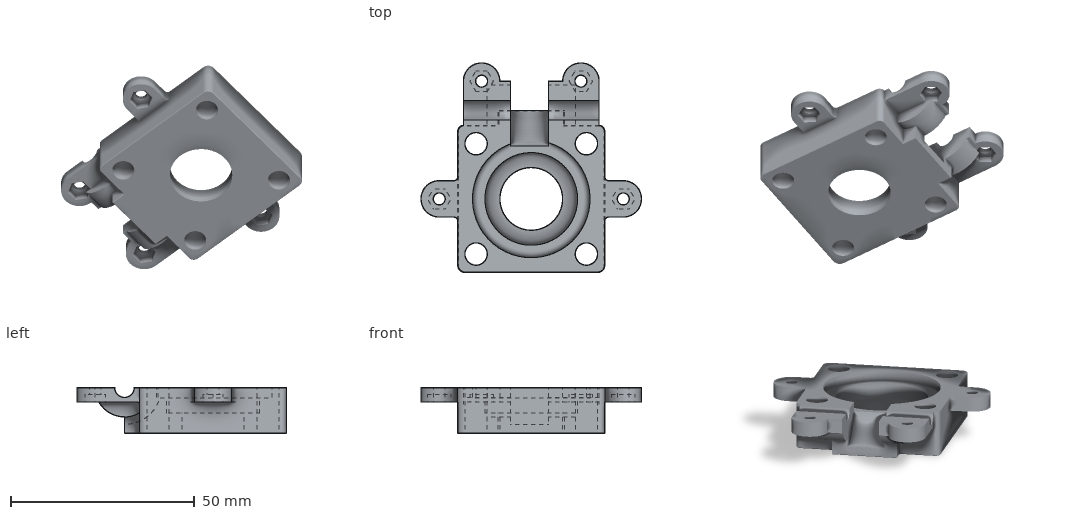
import cadquery as cq

overall_width = 60.0
overall_depth = 57.0
height = 12.55

body_side = 40.0
body_half = body_side / 2
front_corner_radius = 2.0
back_corner_radius = 1.6
bottom_chamfer = 0.2
screw_hole_diameter = 6.0
screw_hole_spacing = 30.0

seat_diameter = 32.0
seat_depth = 2.8
recess_diameter = 25.2
recess_depth = 6.9
through_bore_diameter = 17.0

ear_thickness = 3.95
ear_radius = 5.0
ear_hole_diameter = 3.2
nut_pocket_corner_diameter = 6.35
nut_pocket_depth = 2.05
ear_bottom = height - ear_thickness
side_ear_x = overall_width / 2 - ear_radius
side_ear_fillet = 1.0

back_ear_x = 13.5
back_ear_y = overall_depth - body_half - ear_radius
arm_outer_x = back_ear_x + ear_radius
arm_root_fillet = 0.5
slot_width = 10.25
slot_center_x = -0.5

shaft_y = 24.05
groove_radius = 2.65
barrel_radius = 8.0
barrel_half_width = 12.0
support_half_width = 9.0
wheel_clearance_radius = 10.0


def plate(width, depth, thickness, center_x, center_y, bottom_z):
    """Rectangular block centred in X and Y, standing on bottom_z."""
    block = cq.Workplane("XY").box(width, depth, thickness, centered=(True, True, False))
    return block.translate((center_x, center_y, bottom_z))


def vertical_cylinder(diameter, x, y, bottom_z):
    """Cylinder from bottom_z up to the top face."""
    return cq.Workplane("XY", origin=(x, y, bottom_z)).circle(diameter / 2).extrude(height - bottom_z)


def shaft_cylinder(radius, half_width):
    """Cylinder along X on the shaft axis, symmetric about X = 0."""
    return cq.Workplane("YZ", origin=(0, shaft_y, height)).circle(radius).extrude(half_width, both=True)


def make_body():
    """Square body with the narrower support block under the barrel, chamfered around the underside."""
    body = plate(body_side, body_side, height, 0, 0, 0)
    body = body.edges("|Z and <Y").fillet(front_corner_radius)
    body = body.edges("|Z and >Y").fillet(back_corner_radius)
    support_height = height - barrel_radius / 2
    support = plate(2 * support_half_width, shaft_y, support_height, 0, shaft_y / 2, 0)
    return body.union(support).faces("<Z").edges().chamfer(bottom_chamfer)


def make_side_ears():
    """Bar with round ends across the body, with concave fillets where it meets the sides."""
    bar = plate(2 * side_ear_x, 2 * ear_radius, ear_thickness, 0, 0, ear_bottom)
    for side in (-1, 1):
        bar = bar.union(vertical_cylinder(2 * ear_radius, side * side_ear_x, 0, ear_bottom))
    root_half_depth = ear_radius + side_ear_fillet
    root_half_width = body_half + side_ear_fillet
    roots = plate(2 * root_half_width, 2 * root_half_depth, ear_thickness, 0, 0, ear_bottom)
    for x in (-root_half_width, root_half_width):
        for y in (-root_half_depth, root_half_depth):
            roots = roots.cut(vertical_cylinder(2 * side_ear_fillet, x, y, ear_bottom))
    return bar.union(roots)


def make_back_arms():
    """Arm plates with round ears, the barrel below them and a small fillet at the body."""
    arms = plate(2 * arm_outer_x, back_ear_y, ear_thickness, 0, back_ear_y / 2, ear_bottom)
    for side in (-1, 1):
        arms = arms.union(vertical_cylinder(2 * ear_radius, side * back_ear_x, back_ear_y, ear_bottom))
    barrel = shaft_cylinder(barrel_radius, barrel_half_width)
    above_top = plate(overall_width, overall_depth, height, 0, shaft_y, height)
    arms = arms.union(barrel.cut(above_top))
    root = (
        cq.Workplane("YZ", origin=(0, body_half, ear_bottom))
        .lineTo(arm_root_fillet, 0)
        .radiusArc((0, -arm_root_fillet), -arm_root_fillet)
        .close()
        .extrude(arm_outer_x, both=True)
    )
    return arms.union(root)


def cut_bore(part):
    """Two round steps and the through bore."""
    part = part.cut(vertical_cylinder(seat_diameter, 0, 0, height - seat_depth))
    part = part.cut(vertical_cylinder(recess_diameter, 0, 0, height - recess_depth))
    return part.cut(vertical_cylinder(through_bore_diameter, 0, 0, 0))


def nut_pocket(x, y):
    """Hexagonal prism rising from the underside of an ear, with two flats facing -Y and +Y."""
    sketch = cq.Workplane("XY", origin=(x, y, ear_bottom)).polygon(6, nut_pocket_corner_diameter)
    return sketch.extrude(nut_pocket_depth)


def cut_holes(part):
    """Four body screw holes, and one small hole with a nut pocket in each ear."""
    screw_offset = screw_hole_spacing / 2
    for side in (-1, 1):
        part = part.cut(vertical_cylinder(screw_hole_diameter, side * screw_offset, screw_offset, 0))
        part = part.cut(vertical_cylinder(screw_hole_diameter, side * screw_offset, -screw_offset, 0))
        for x, y in ((side * side_ear_x, 0), (side * back_ear_x, back_ear_y)):
            part = part.cut(vertical_cylinder(ear_hole_diameter, x, y, ear_bottom))
            part = part.cut(nut_pocket(x, y))
    return part


def cut_shaft_space(part):
    """Groove across both arms and the slot between them, with its round floor."""
    part = part.cut(shaft_cylinder(groove_radius, overall_width / 2))
    slot = shaft_cylinder(wheel_clearance_radius, slot_width / 2)
    return part.cut(slot.translate((slot_center_x, 0, 0)))


result = make_body().union(make_side_ears()).union(make_back_arms())
result = cut_shaft_space(cut_holes(cut_bore(result)))